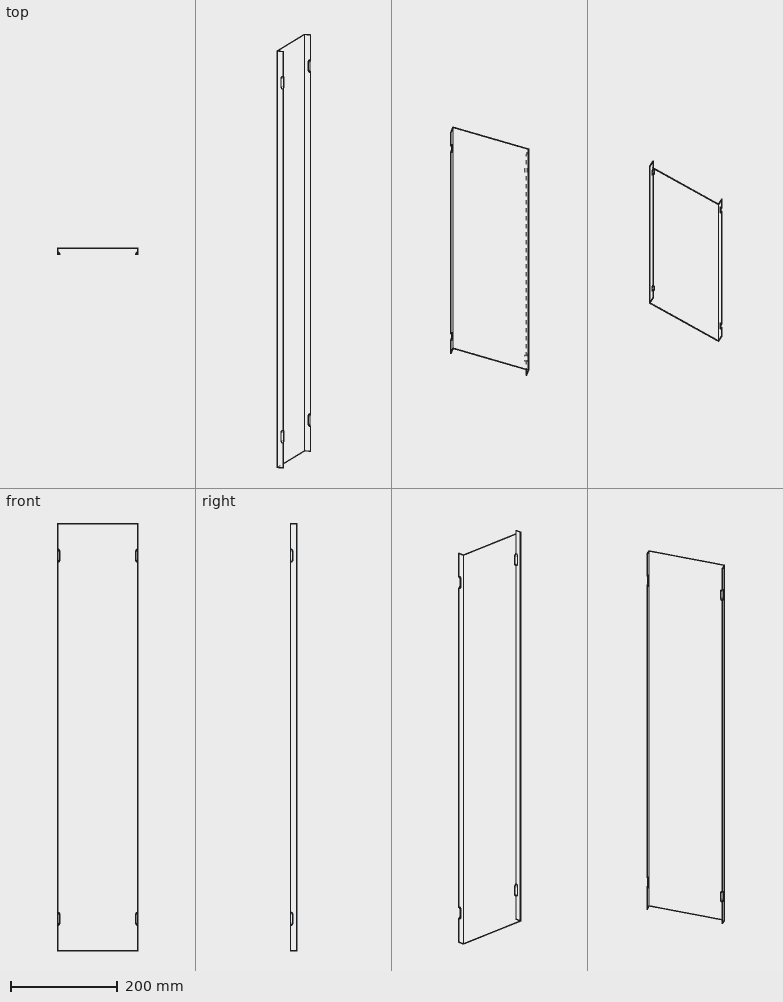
import cadquery as cq

width = 150.0
depth = 12.5
length = 800.0
sheet = 1.0

dent_radius = 4.0
dent_depth = 3.0
dent_length = 23.5
dent_end_distance = 60.0

free_edge_y = -depth / 2
bar_offset = dent_radius - dent_depth
end_radius = (dent_radius**2 - bar_offset**2) ** 0.5
bar_straight = dent_length - 2 * end_radius


def make_channel():
    """Flat plate with a flange folded forward along each long side."""
    outer = cq.Workplane("XY").box(width, depth, length)
    cavity = (
        cq.Workplane("XY")
        .box(width - 2 * sheet, depth, length)
        .translate((0, -sheet, 0))
    )
    return outer.cut(cavity)


def make_dent_form(radius):
    """Ball-ended bar along the free edge of the left flange, kept only inside the cover."""
    bar = cq.Workplane("XY").circle(radius).extrude(bar_straight / 2, both=True)
    for end_z in (-bar_straight / 2, bar_straight / 2):
        bar = bar.union(cq.Workplane("XY").sphere(radius).translate((0, 0, end_z)))
    bar = bar.translate((-width / 2 - bar_offset, free_edge_y, 0))
    return bar.intersect(cq.Workplane("XY").box(width, depth, length))


def add_dents(cover):
    """Press a dent into both flanges near each end of the cover."""
    backing = make_dent_form(dent_radius + sheet)
    recess = make_dent_form(dent_radius)
    dent_z = length / 2 - dent_end_distance
    for z in (-dent_z, dent_z):
        left_backing = backing.translate((0, 0, z))
        left_recess = recess.translate((0, 0, z))
        cover = cover.union(left_backing).union(left_backing.mirror("YZ"))
        cover = cover.cut(left_recess).cut(left_recess.mirror("YZ"))
    return cover


result = add_dents(make_channel())